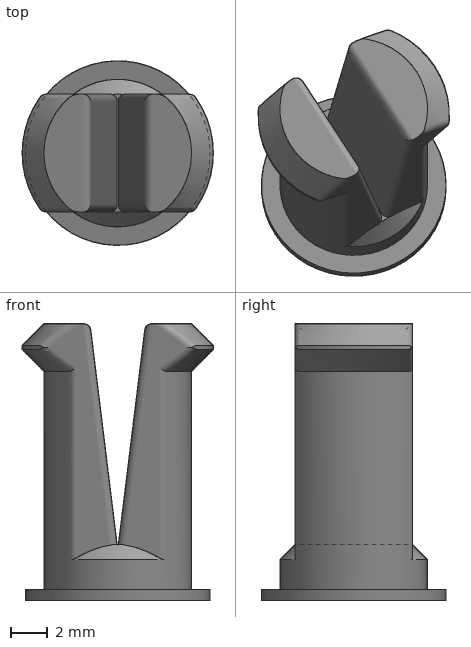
import cadquery as cq

total_height = 15.0
body_radius = 8.0 / 2
flange_radius = 10.0 / 2
flange_height = 0.6

head_radius = 10.36 / 2
rim_height = 0.21
barb_overhang = head_radius - body_radius
rim_top = total_height - barb_overhang
rim_bottom = rim_top - rim_height
neck_z = rim_bottom - barb_overhang

flat_half_width = 3.2
shoulder_z = 2.22
shoulder_top = shoulder_z + body_radius - flat_half_width

slot_bottom = shoulder_top
slot_floor_half_width = 0.03
slot_half_opening = 1.5
edge_radius = 0.4


def turned_blank(outline):
    """Turn an outline of (radius, z) points about the Z axis and trim it to the two flats."""
    trim = cq.Workplane("XY").rect(2 * head_radius, 2 * flat_half_width).extrude(total_height)
    turned = cq.Workplane("XZ").polyline(outline).close().revolve(360, (0, 0), (0, 1))
    return turned.intersect(trim)


def round_flats(blank):
    """Round the edges where the flats meet the turned surface, leaving both end faces sharp."""
    return blank.faces("<Y or >Y").edges("not (<Z or >Z)").fillet(edge_radius)


def make_barbed_blank():
    """Build the rounded shape of both prongs, before the slot is cut.

    The slopes above and below the rim are rounded apart, each with a tall rim,
    and the overlap of the two shapes leaves the narrow rim.
    """
    upper_outline = [
        (0, 0),
        (head_radius, 0),
        (head_radius, rim_top),
        (body_radius, total_height),
        (0, total_height),
    ]
    lower_outline = [
        (0, 0),
        (body_radius, 0),
        (body_radius, neck_z),
        (head_radius, rim_bottom),
        (head_radius, total_height),
        (0, total_height),
    ]
    upper = round_flats(turned_blank(upper_outline))
    lower = round_flats(turned_blank(lower_outline))
    return upper.intersect(lower)


def make_prong_side():
    """Build a block on the +X side of the slot, with rounded slot edges, continued below the slot."""
    slot_slope = (slot_half_opening - slot_floor_half_width) / (total_height - slot_bottom)
    slot_x_at_base = slot_floor_half_width - slot_slope * slot_bottom
    block = (
        cq.Workplane("XZ")
        .moveTo(slot_x_at_base, 0)
        .lineTo(head_radius, 0)
        .lineTo(head_radius, total_height)
        .lineTo(slot_half_opening, total_height)
        .close()
        .extrude(flat_half_width, both=True)
    )
    return block.faces("<X").edges("not <Z").fillet(edge_radius)


def make_base():
    """Build the flange, round foot and conical shoulder."""
    return (
        cq.Workplane("XZ")
        .moveTo(0, 0)
        .lineTo(flange_radius, 0)
        .lineTo(flange_radius, flange_height)
        .lineTo(body_radius, flange_height)
        .lineTo(body_radius, shoulder_z)
        .lineTo(flat_half_width, shoulder_top)
        .lineTo(0, shoulder_top)
        .close()
        .revolve(360, (0, 0), (0, 1))
    )


prong = make_barbed_blank().intersect(make_prong_side())
result = make_base().union(prong).union(prong.mirror("YZ"))